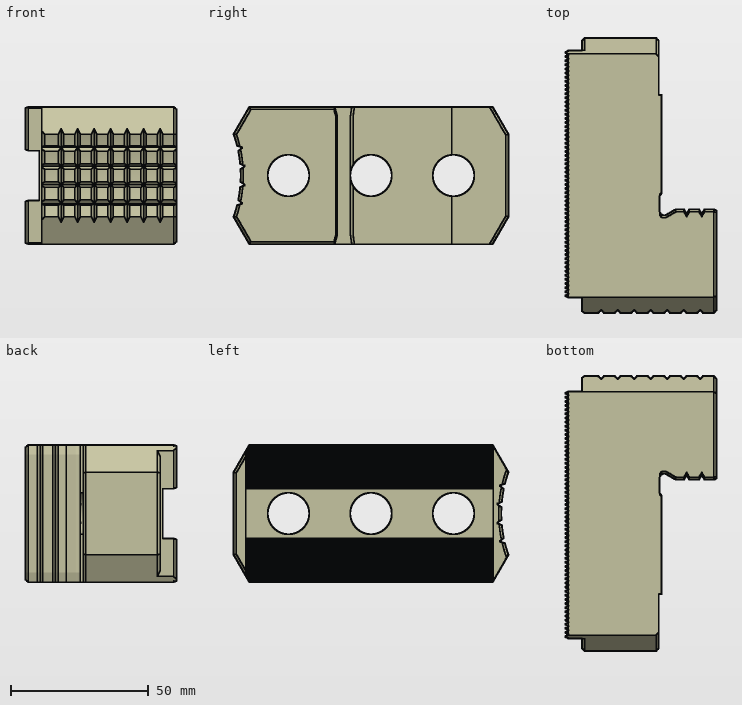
import cadquery as cq
import math

height = 55.0
length = 99.9
width = 50.0
half_width = width / 2
edge_chamfer = 1.0
clearance = 1.0
half_v_slope = math.tan(math.radians(30))

band_half_width = 15.0
end_slope_angle = math.radians(30)
end_bevel = (half_width - band_half_width) * math.tan(end_slope_angle)
scoop_radius = 45.0
scoop_depth = scoop_radius - math.sqrt(scoop_radius**2 - band_half_width**2)
scoop_axis_y = scoop_depth - scoop_radius

rail_height = 6.0
rail_start = 5.5
slot_half_width = 9.0
slot_depth = 5.0
tooth_pitch = 1.5
tooth_depth = 1.1
tooth_flank = 0.5
tooth_crest = 0.3
tooth_root = tooth_pitch - tooth_crest - 2 * tooth_flank
tooth_count = 60
rail_end = rail_start + tooth_count * tooth_pitch

leg_height = 34.0
seat_height = 35.0
seat_start = 43.5
seat_end = 79.2
relief_height = 34.3
relief_end = 42.5
relief_fillet = 1.6

jaw_face = 37.8
jaw_face_start = 40.2
jaw_flank_angle = math.radians(30)
jaw_edge_drop = edge_chamfer * half_v_slope
lean_drop = 1.0
lean_angle = 16.0
lean_width = lean_drop / math.tan(math.radians(lean_angle))
seat_flare = 0.5

grip_half_width = 1.0
grip_depth = grip_half_width / half_v_slope
front_grip_first = 13.0
front_grip_pitch = 6.0
front_grip_count = 7
cross_grip_angle = 8.4
cross_grip_count = 4
jaw_grip_places = (44.1, 49.6)

hole_diameter = 15.0
hole_pitch = 30.0
hole_count = 3


def sloped_prism(start_x):
    """Prism along X, from start_x to the top, with both ends sloped."""
    return (
        cq.Workplane("YZ", origin=(start_x, 0, 0))
        .moveTo(end_bevel, -half_width)
        .lineTo(length - end_bevel, -half_width)
        .lineTo(length, -band_half_width)
        .lineTo(length, band_half_width)
        .lineTo(length - end_bevel, half_width)
        .lineTo(end_bevel, half_width)
        .lineTo(0, band_half_width)
        .lineTo(0, -band_half_width)
        .close()
        .extrude(height - start_x)
    )


def block():
    """Full block above the rails, with a scooped front and chamfered edges."""
    scoop = (
        cq.Workplane("YZ")
        .center(scoop_axis_y, 0)
        .circle(scoop_radius)
        .extrude(height)
    )
    solid = sloped_prism(rail_height).cut(scoop)
    solid = solid.faces(">X").edges().chamfer(edge_chamfer)
    solid = solid.faces("<X").edges("%CIRCLE").chamfer(edge_chamfer)
    return chamfer_back(solid, rail_height)


def chamfer_back(solid, level):
    """Chamfer the flat and sloped edges of the back end at one X level."""
    margin = 0.1
    near_back = cq.selectors.BoxSelector(
        (level - margin, length - end_bevel + margin, -half_width),
        (level + margin, length + margin, half_width),
    )
    return solid.edges(near_back).chamfer(edge_chamfer)


def clearance_outline(plane_z, drop, flare):
    """Closed outline of the space above the seat and behind the jaw."""
    face = jaw_face - drop
    fillet_x = relief_height + relief_fillet
    tangent_x = fillet_x + relief_fillet * math.sin(jaw_flank_angle)
    tangent_y = face - (jaw_face_start - tangent_x) * math.tan(jaw_flank_angle)
    centre_y = tangent_y + relief_fillet * math.cos(jaw_flank_angle)

    outline = (
        cq.Workplane("XY", origin=(0, 0, plane_z))
        .moveTo(relief_height, centre_y)
        .threePointArc((fillet_x, centre_y - relief_fillet), (tangent_x, tangent_y))
        .lineTo(jaw_face_start, face)
    )
    for place in jaw_grip_places:
        outline = (
            outline.lineTo(place - grip_half_width, face)
            .lineTo(place, face - grip_depth)
            .lineTo(place + grip_half_width, face)
        )
    return (
        outline.lineTo(height - edge_chamfer, face)
        .lineTo(height, face - jaw_edge_drop)
        .lineTo(height + clearance, face - jaw_edge_drop)
        .lineTo(height + clearance, length + clearance)
        .lineTo(leg_height, length + clearance)
        .lineTo(leg_height, seat_end)
        .lineTo(seat_height, seat_end)
        .lineTo(seat_height, seat_start + flare)
        .lineTo(relief_height, relief_end + flare)
        .close()
    )


def clearance_space():
    """Straight across the middle, spreading toward both outer sides."""
    lean_start = half_width - lean_width
    middle = clearance_outline(-lean_start, 0, 0).extrude(2 * lean_start)
    inner = clearance_outline(lean_start, 0, 0).val()
    outer = clearance_outline(half_width, lean_drop, seat_flare).val()
    spread = cq.Workplane(cq.Solid.makeLoft([inner, outer], True))
    return middle.union(spread).union(spread.mirror("XY"))


def rails():
    """Rail pad split by a slot and cut into evenly spaced teeth."""
    pad_depth = rail_height + edge_chamfer
    outline = cq.Workplane("XY", origin=(0, 0, -half_width)).moveTo(pad_depth, rail_start)
    outline = outline.lineTo(tooth_depth, rail_start)
    for index in range(tooth_count):
        root = rail_start + index * tooth_pitch
        outline = (
            outline.lineTo(tooth_depth, root + tooth_root / 2)
            .lineTo(0, root + tooth_root / 2 + tooth_flank)
            .lineTo(0, root + tooth_root / 2 + tooth_flank + tooth_crest)
            .lineTo(tooth_depth, root + tooth_pitch - tooth_root / 2)
        )
    outline = outline.lineTo(tooth_depth, rail_end)
    pad = outline.lineTo(pad_depth, rail_end).close().extrude(width)

    section = (
        cq.Workplane("XZ", origin=(0, length, 0))
        .moveTo(pad_depth, half_width)
        .lineTo(tooth_depth, half_width)
        .lineTo(0, half_width - tooth_flank)
        .lineTo(0, slot_half_width + tooth_flank)
        .lineTo(tooth_depth, slot_half_width)
        .lineTo(slot_depth, slot_half_width)
        .lineTo(slot_depth, 0)
        .lineTo(pad_depth, 0)
        .close()
        .extrude(length)
    )
    pad = pad.intersect(section.union(section.mirror("XY")))
    return pad.intersect(sloped_prism(0))


def front_grip():
    """V rings that follow the scoop, crossed by V grooves along X."""
    mouth_y = scoop_depth - clearance
    mouth_half_width = grip_half_width + clearance * half_v_slope
    tip_y = scoop_depth + grip_depth

    ring = (
        cq.Workplane("XY")
        .moveTo(-mouth_half_width, mouth_y)
        .lineTo(0, tip_y)
        .lineTo(mouth_half_width, mouth_y)
        .close()
        .revolve(360, (0, scoop_axis_y), (1, scoop_axis_y))
    )
    cross = (
        cq.Workplane("YZ", origin=(rail_height, 0, 0))
        .moveTo(mouth_y, -mouth_half_width)
        .lineTo(tip_y, 0)
        .lineTo(mouth_y, mouth_half_width)
        .close()
        .extrude(height)
    )
    cutters = []
    for index in range(front_grip_count):
        cutters.append(ring.translate((front_grip_first + index * front_grip_pitch, 0, 0)))
    for index in range(cross_grip_count):
        angle = (index - (cross_grip_count - 1) / 2) * cross_grip_angle
        cutters.append(cross.rotate((0, scoop_axis_y, 0), (1, scoop_axis_y, 0), angle))
    return cutters


def screw_holes():
    """Row of through holes along the jaw, centred on its length."""
    return (
        cq.Workplane("YZ", origin=(0, length / 2, 0))
        .rarray(hole_pitch, 1, hole_count, 1)
        .circle(hole_diameter / 2)
        .extrude(height)
    )


result = chamfer_back(block().cut(clearance_space()), leg_height)
result = result.union(rails())
for cutter in front_grip():
    result = result.cut(cutter)
result = result.cut(screw_holes())